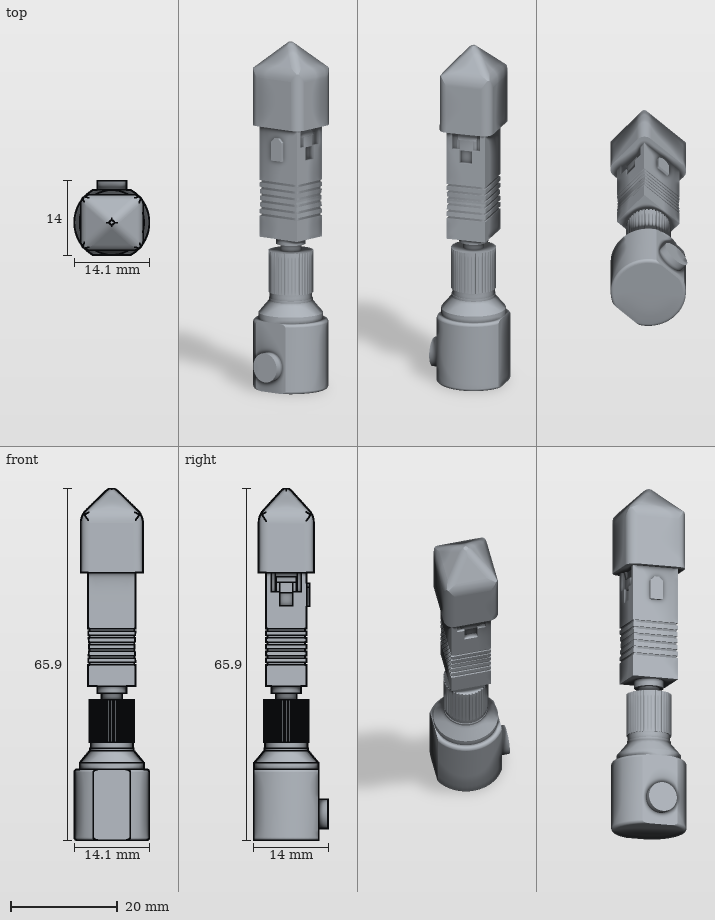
import cadquery as cq
import math

BARREL_DIAMETER = 14.1
BARREL_HEIGHT = 13.3
BARREL_EDGE_RADIUS = 0.6
FLAT_HALF_SPAN = 6.1
STUD_DIAMETER = 5.5
STUD_HEIGHT = 4.95
STUD_TIP_Y = 7.85

FLANGE_DIAMETER = 12.1
FLANGE_TOP = 14.5
CONE_TOP_DIAMETER = 8.2
CONE_TOP = 16.8
CONE_BAND_TOP = 17.25
NECK_DIAMETER = 7.95
KNURL_DIAMETER = 8.4
KNURL_BOTTOM = 18.4
KNURL_TOP = 26.3
KNURL_NOTCHES = 40
KNURL_NOTCH_WIDTH = 0.25
KNURL_NOTCH_DEPTH = 0.2

SHELL_X = 8.95
SHELL_Y = 7.65
SHELL_BOTTOM = 28.85
SHELL_TOP = 50.1
SHELL_WALL = 1.0
GROOVE_COUNT = 6
GROOVE_WIDTH = 0.45
GROOVE_DEPTH = 0.25
GROOVES_BOTTOM = 32.85
GROOVES_TOP = 39.65
WAIST_DEPTH = 0.2
WINDOW_WIDTH = 5.5
WINDOW_BOTTOM = 46.55
SLOT_WIDTH = 2.5
SLOT_BOTTOM = 43.9
KEY_WIDTH = 2.5
KEY_BOTTOM = 43.8
KEY_TOP = 48.1
KEY_CHAMFER = 0.8
KEY_HEIGHT = 0.6

COLLAR_DIAMETER = 5.5
COLLAR_BOTTOM = 27.5
STEM_DIAMETER = 3.95
LUG_WIDTH = 3.8
LUG_HEIGHT = 0.4
LUG_SLOPE_BOTTOM = 48.3
LUG_SLOPE_TOP = 49.3
TAB_BOTTOM = 46.35
TAB_HEIGHT = 0.6
RAIL_SPACING = 4.1
RAIL_HEIGHT = 0.2
FLARE_BOTTOM = 48.8
FLARE_HEIGHT = 0.5

CAP_X = 11.7
CAP_Y = 10.4
EAVE_HEIGHT = 60.8
APEX_HEIGHT = 66.5
CAP_TOP = 65.85
CAP_CORNER_RADIUS = 1.8
EAVE_RADIUS = 3.5


def cylinder(diameter, bottom, top):
    return cq.Workplane("XY").workplane(offset=bottom).circle(diameter / 2).extrude(top - bottom)


def block(size_x, size_y, bottom, top):
    return cq.Workplane("XY").workplane(offset=bottom).rect(size_x, size_y).extrude(top - bottom)


def make_barrel():
    body = cylinder(BARREL_DIAMETER, 0, BARREL_HEIGHT).edges().fillet(BARREL_EDGE_RADIUS)
    body = body.intersect(block(BARREL_DIAMETER, 2 * FLAT_HALF_SPAN, 0, BARREL_HEIGHT))
    stud = (
        cq.Workplane("XZ")
        .center(0, STUD_HEIGHT)
        .circle(STUD_DIAMETER / 2)
        .extrude(-STUD_TIP_Y)
    )
    return body.union(stud)


def make_nose():
    nose = (
        cq.Workplane("XZ")
        .moveTo(0, BARREL_HEIGHT)
        .lineTo(FLANGE_DIAMETER / 2, BARREL_HEIGHT)
        .lineTo(FLANGE_DIAMETER / 2, FLANGE_TOP)
        .lineTo(CONE_TOP_DIAMETER / 2, CONE_TOP)
        .lineTo(CONE_TOP_DIAMETER / 2, CONE_BAND_TOP)
        .lineTo(NECK_DIAMETER / 2, CONE_BAND_TOP)
        .lineTo(NECK_DIAMETER / 2, KNURL_BOTTOM)
        .lineTo(KNURL_DIAMETER / 2, KNURL_BOTTOM)
        .lineTo(KNURL_DIAMETER / 2, KNURL_TOP)
        .lineTo(0, KNURL_TOP)
        .close()
        .revolve(360, (0, 0, 0), (0, 1, 0))
    )
    pitch = 360 / KNURL_NOTCHES
    notches = (
        cq.Workplane("XY")
        .workplane(offset=KNURL_BOTTOM)
        .polarArray(KNURL_DIAMETER / 2, pitch / 2, 360, KNURL_NOTCHES)
        .rect(2 * KNURL_NOTCH_DEPTH, KNURL_NOTCH_WIDTH)
        .extrude(KNURL_TOP - KNURL_BOTTOM)
    )
    return nose.cut(notches)


def make_plug():
    core_x = SHELL_X - 2 * SHELL_WALL
    core_y = SHELL_Y - 2 * SHELL_WALL
    core_side = core_x / 2
    plug = block(core_x, core_y, SHELL_BOTTOM, SHELL_TOP)
    plug = plug.union(cylinder(COLLAR_DIAMETER, COLLAR_BOTTOM, SHELL_BOTTOM))
    plug = plug.union(cylinder(STEM_DIAMETER, KNURL_TOP, COLLAR_BOTTOM))

    lug = (
        cq.Workplane("XZ")
        .polyline([
            (0, WINDOW_BOTTOM),
            (core_side + LUG_HEIGHT, WINDOW_BOTTOM),
            (core_side + LUG_HEIGHT, LUG_SLOPE_BOTTOM),
            (core_side, LUG_SLOPE_TOP),
            (0, LUG_SLOPE_TOP),
        ])
        .close()
        .extrude(LUG_WIDTH / 2, both=True)
    )
    tab = block(core_side + TAB_HEIGHT, SLOT_WIDTH, TAB_BOTTOM, LUG_SLOPE_BOTTOM).translate(
        ((core_side + TAB_HEIGHT) / 2, 0, 0)
    )
    rails = (
        cq.Workplane("XZ")
        .polyline([
            (0, WINDOW_BOTTOM),
            (core_side + RAIL_HEIGHT, WINDOW_BOTTOM),
            (core_side + RAIL_HEIGHT, FLARE_BOTTOM),
            (core_side + FLARE_HEIGHT, SHELL_TOP),
            (0, SHELL_TOP),
        ])
        .close()
        .extrude(WINDOW_WIDTH / 2, both=True)
        .cut(block(SHELL_X, RAIL_SPACING, WINDOW_BOTTOM, SHELL_TOP))
    )
    latch = lug.union(tab).union(rails)
    return plug.union(latch).union(latch.mirror("YZ"))


def waist_cut():
    """Shallow V in the +X side, deepest at the middle of the grooves."""
    side = SHELL_X / 2
    return (
        cq.Workplane("XZ")
        .polyline([
            (side, GROOVES_BOTTOM),
            (side - WAIST_DEPTH, (GROOVES_BOTTOM + GROOVES_TOP) / 2),
            (side, GROOVES_TOP),
        ])
        .close()
        .extrude(SHELL_Y / 2, both=True)
    )


def groove_ring(bottom):
    """Rectangular ring that cuts one groove around all four sides."""
    top = bottom + GROOVE_WIDTH
    floor_x = SHELL_X - 2 * GROOVE_DEPTH
    floor_y = SHELL_Y - 2 * GROOVE_DEPTH
    return block(SHELL_X, SHELL_Y, bottom, top).cut(block(floor_x, floor_y, bottom, top))


def make_shell():
    shell = block(SHELL_X, SHELL_Y, SHELL_BOTTOM, SHELL_TOP)
    shell = shell.cut(waist_cut()).cut(waist_cut().mirror("YZ"))

    pitch = (GROOVES_TOP - GROOVES_BOTTOM - GROOVE_WIDTH) / (GROOVE_COUNT - 1)
    for index in range(GROOVE_COUNT):
        shell = shell.cut(groove_ring(GROOVES_BOTTOM + index * pitch))

    key = (
        cq.Workplane("XZ")
        .center(0, (KEY_BOTTOM + KEY_TOP) / 2)
        .rect(KEY_WIDTH, KEY_TOP - KEY_BOTTOM)
        .extrude(-(SHELL_Y / 2 + KEY_HEIGHT))
        .edges("|Y and >Z")
        .chamfer(KEY_CHAMFER)
    )
    window = block(SHELL_X, WINDOW_WIDTH, WINDOW_BOTTOM, SHELL_TOP)
    slot = block(SHELL_X, SLOT_WIDTH, SLOT_BOTTOM, WINDOW_BOTTOM)
    cavity = block(SHELL_X - 2 * SHELL_WALL, SHELL_Y - 2 * SHELL_WALL, SHELL_BOTTOM, SHELL_TOP)
    return shell.union(key).cut(window).cut(slot).cut(cavity)


def gable_bar(plane, axis, width, length):
    """Gable-shaped bar that runs along one axis and has rounded eaves."""
    return (
        cq.Workplane(plane)
        .polyline([
            (-width / 2, SHELL_TOP),
            (width / 2, SHELL_TOP),
            (width / 2, EAVE_HEIGHT),
            (0, APEX_HEIGHT),
            (-width / 2, EAVE_HEIGHT),
        ])
        .close()
        .extrude(length / 2, both=True)
        .edges("|" + axis)
        .edges(">>Z[-2]")
        .fillet(EAVE_RADIUS)
    )


def ridge_bar(sign_x, sign_y):
    """Wedge bar along one ridge: the two roof faces beside the ridge, joined by a rounded crest."""
    rise = APEX_HEIGHT - EAVE_HEIGHT
    normal_x = cq.Vector(sign_x * rise, 0, CAP_X / 2).normalized()
    normal_y = cq.Vector(0, sign_y * rise, CAP_Y / 2).normalized()
    downhill = cq.Vector(sign_x * CAP_X / 2, sign_y * CAP_Y / 2, -rise).normalized()
    apex = cq.Vector(0, 0, APEX_HEIGHT)

    depth = APEX_HEIGHT
    half_angle = math.pi / 2 - normal_x.getAngle(normal_y) / 2
    half_width = depth * math.tan(half_angle)
    start = cq.Plane(apex - downhill * depth, xDir=normal_x + normal_y, normal=downhill)
    return (
        cq.Workplane(start)
        .polyline([(0, 0), (-depth, half_width), (-depth, -half_width)])
        .close()
        .extrude(2 * depth)
        .edges(cq.selectors.NearestToPointSelector(apex.toTuple()))
        .fillet(CAP_CORNER_RADIUS)
    )


def make_cap():
    cap = block(CAP_X, CAP_Y, SHELL_TOP, CAP_TOP).edges("|Z").fillet(CAP_CORNER_RADIUS)
    cap = cap.intersect(gable_bar("XZ", "Y", CAP_X, CAP_Y))
    cap = cap.intersect(gable_bar("YZ", "X", CAP_Y, CAP_X))
    for sign_x in (-1, 1):
        for sign_y in (-1, 1):
            cap = cap.intersect(ridge_bar(sign_x, sign_y))
    return cap


bodies = [make_barrel(), make_nose(), make_plug(), make_shell(), make_cap()]
result = cq.Compound.makeCompound([body.solids().val() for body in bodies])